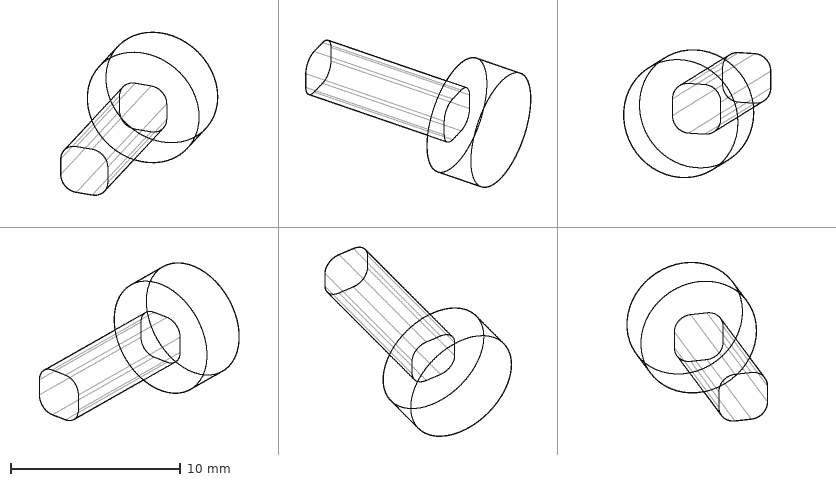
import cadquery as cq

total_length = 12.45
head_diameter = 7.12
head_thickness = 3.0
shank_width = 3.0
shank_corner_radius = 1.0

shank_length = total_length - head_thickness


def make_head():
    """Round head whose inner face lies on the XZ plane, extending toward +Y."""
    return cq.Workplane("XZ").circle(head_diameter / 2).extrude(-head_thickness)


def make_shank():
    """Square shank with rounded long edges, extending toward -Y from the head."""
    return (
        cq.Workplane("XZ")
        .rect(shank_width, shank_width)
        .extrude(shank_length)
        .edges("|Y")
        .fillet(shank_corner_radius)
    )


result = make_head().union(make_shank())